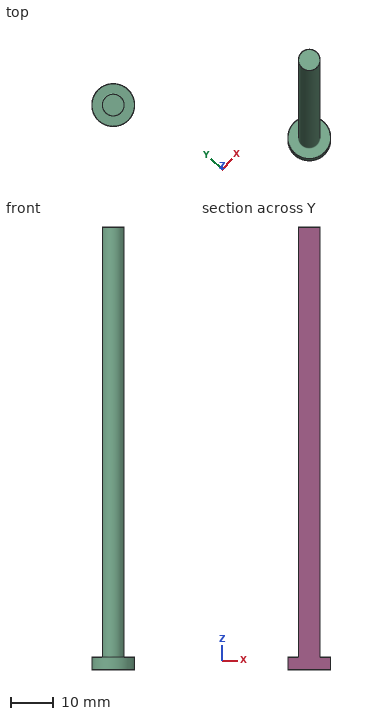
import cadquery as cq

total_length = 103.0
head_diameter = 10.0
head_thickness = 3.0
shank_diameter = 5.0
neck_fillet = 0.2

head = cq.Workplane("XY").circle(head_diameter / 2).extrude(head_thickness)
shank = cq.Workplane("XY").circle(shank_diameter / 2).extrude(total_length)
pin = head.union(shank)

neck_edge = cq.selectors.RadiusNthSelector(0)
result = pin.faces("<Z[1]").edges(neck_edge).fillet(neck_fillet)